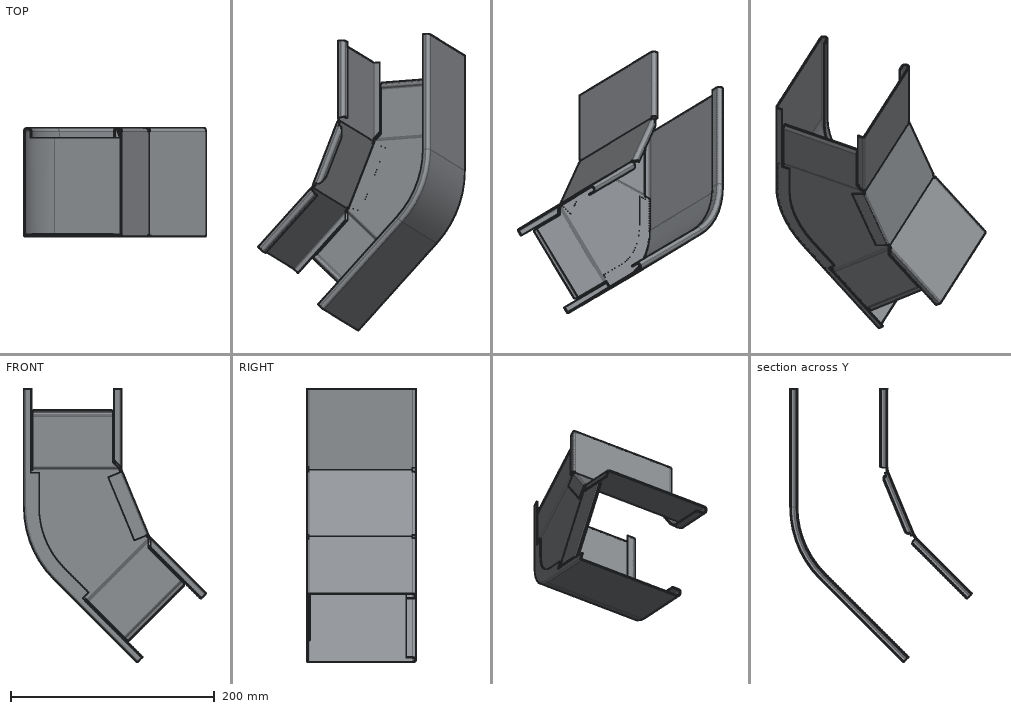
import cadquery as cq
import math


SHEET = 1.25
TRAY_WIDTH = 96.0
TRAY_HEIGHT = 107.0
BEND_ANGLE = 45.0
LEG_LENGTH = 157.22
BEND_RADIUS = 100.0

FLANGE_WIDTH = 7.0
WIDE_FLANGE = 15.0
FLANGE_RADIUS = 1.7
HOOK_WIDTH = 7.7
HOOK_RADIUS = 3.7
HOOK_DEPTH = 9.7
WIDE_FLANGE_START = 82.2

INNER_STRAIGHT = 79.2
KINK_RELIEF = 1.8
FLANGE_CUT_SETBACK = 2.0
HOOK_CORNER_SETBACK = 2.5
HOOK_CUT_RISE = 3.0

TONGUE_MARGIN = 8.5
PLATE_MARGIN = 2.0
TONGUE_TIP = 21.2
GROOVE_BOTTOM = 24.0
GROOVE_START = 26.2
JOGGLE_START = 76.9
JOGGLE_END = 78.5
PLATE_START = 79.5
TONGUE_FLARE_START = 71.7
GROOVE_DEPTH = 2.2
TIP_DEPTH = 0.6
TIP_CHAMFER = 1.5
FOLD_RADIUS = 0.6
GROOVE_RADIUS = 1.6

HALF_ANGLE = math.radians(BEND_ANGLE / 2)
COS_BEND = math.cos(math.radians(BEND_ANGLE))
SIN_BEND = math.sin(math.radians(BEND_ANGLE))
TANGENT_Z = BEND_RADIUS * math.tan(HALF_ANGLE)
KINK_Z = LEG_LENGTH - INNER_STRAIGHT
KINK_TURN = HALF_ANGLE


def across_bend(x, z):
    """Mirror a point of leg one onto leg two."""
    return (x * COS_BEND + z * SIN_BEND, x * SIN_BEND - z * COS_BEND)


def on_leg_two(body):
    """Mirror a body of leg one onto leg two."""
    return body.mirror("XY").rotate((0, 0, 0), (0, 1, 0), -BEND_ANGLE)


def prism(points, y_start, y_end):
    """Polygon in X and Z, extruded along Y."""
    return cq.Workplane("XZ", origin=(0, y_start, 0)).polyline(points).close().extrude(y_start - y_end)


def rounded_outline(plane, corners):
    """Closed outline from (u, v, radius) corners; a zero radius stays sharp."""
    stretches = []
    for i, (u, v, radius) in enumerate(corners):
        here = cq.Vector(u, v)
        if radius == 0:
            stretches.append([here])
            continue
        before = (cq.Vector(*corners[i - 1][:2]) - here).normalized()
        after = (cq.Vector(*corners[(i + 1) % len(corners)][:2]) - here).normalized()
        half = before.getAngle(after) / 2
        bisector = (before + after).normalized()
        setback = radius / math.tan(half)
        to_arc = radius / math.sin(half) - radius
        stretches.append([here + before * setback, here + bisector * to_arc, here + after * setback])
    outline = plane.moveTo(stretches[0][0].x, stretches[0][0].y)
    for i, stretch in enumerate(stretches):
        if i > 0:
            outline = outline.lineTo(stretch[0].x, stretch[0].y)
        if len(stretch) == 3:
            outline = outline.threePointArc((stretch[1].x, stretch[1].y), (stretch[2].x, stretch[2].y))
    return outline.close()


def wall_section(flange, z):
    """Wall with a front flange and a rear hook; X runs inwards from the outer face."""
    inside = HOOK_WIDTH - SHEET
    rear = TRAY_HEIGHT - SHEET
    lip = TRAY_HEIGHT - HOOK_DEPTH
    return rounded_outline(cq.Workplane("XY", origin=(0, 0, z)), [
        (flange, 0, 0),
        (0, 0, FLANGE_RADIUS),
        (0, TRAY_HEIGHT, HOOK_RADIUS),
        (HOOK_WIDTH, TRAY_HEIGHT, HOOK_RADIUS),
        (HOOK_WIDTH, lip, 0),
        (inside, lip, 0),
        (inside, rear, HOOK_RADIUS - SHEET),
        (SHEET, rear, HOOK_RADIUS - SHEET),
        (SHEET, SHEET, FLANGE_RADIUS - SHEET),
        (flange, SHEET, 0),
    ])


def make_outer_wall():
    step_z = LEG_LENGTH - WIDE_FLANGE_START
    leg = wall_section(FLANGE_WIDTH, step_z).extrude(WIDE_FLANGE_START)
    leg = leg.union(wall_section(WIDE_FLANGE, TANGENT_Z).extrude(step_z - TANGENT_Z))
    bend = wall_section(WIDE_FLANGE, TANGENT_Z).revolve(BEND_ANGLE, (BEND_RADIUS, 0, 0), (BEND_RADIUS, -1, 0))
    return leg.union(bend).union(on_leg_two(leg))


def make_inner_wall():
    half = [
        (TRAY_WIDTH, LEG_LENGTH),
        (TRAY_WIDTH, KINK_Z),
    ]
    half_inside = [
        (TRAY_WIDTH - SHEET, KINK_Z - SHEET * math.tan(KINK_TURN / 2)),
        (TRAY_WIDTH - SHEET, LEG_LENGTH),
    ]
    outline = half + [across_bend(*p) for p in reversed(half)]
    outline += [across_bend(*p) for p in reversed(half_inside)] + half_inside
    wall = prism(outline, FLANGE_RADIUS, TRAY_HEIGHT - HOOK_RADIUS)

    leg_start = KINK_Z + KINK_RELIEF
    leg = wall_section(FLANGE_WIDTH, leg_start).extrude(LEG_LENGTH - leg_start)
    leg = leg.mirror("YZ").translate((TRAY_WIDTH, 0, 0))
    cut_z = KINK_Z + FLANGE_CUT_SETBACK
    flange_cut = prism([
        (TRAY_WIDTH, cut_z),
        (TRAY_WIDTH - WIDE_FLANGE, cut_z + WIDE_FLANGE),
        (TRAY_WIDTH - WIDE_FLANGE, 0),
        (TRAY_WIDTH, 0),
    ], 0, FLANGE_RADIUS)
    hook_cut = prism([
        (TRAY_WIDTH, KINK_Z),
        (TRAY_WIDTH - HOOK_WIDTH, KINK_Z + HOOK_CUT_RISE),
        (TRAY_WIDTH - HOOK_WIDTH, 0),
        (TRAY_WIDTH, 0),
    ], TRAY_HEIGHT - HOOK_DEPTH, TRAY_HEIGHT)
    leg = leg.cut(flange_cut).cut(hook_cut)

    far_x, far_z = across_bend(TRAY_WIDTH, KINK_Z)
    length = math.hypot(far_x - TRAY_WIDTH, far_z - KINK_Z) - 2 * KINK_RELIEF
    middle = wall_section(WIDE_FLANGE, -length / 2).extrude(length)
    hook_edge = TRAY_HEIGHT - HOOK_DEPTH
    for end in (-1, 1):
        end_z = end * length / 2
        lip_z = end_z - end * HOOK_CORNER_SETBACK
        hook_corner = cq.Workplane("YZ", origin=(HOOK_RADIUS, 0, 0)).polyline([
            (TRAY_HEIGHT, end_z),
            (TRAY_HEIGHT, lip_z),
            (hook_edge, lip_z - end * HOOK_DEPTH),
            (hook_edge, end_z),
        ]).close().extrude(HOOK_WIDTH)
        middle = middle.cut(hook_corner)
    middle = middle.mirror("YZ")
    middle = middle.rotate((0, 0, 0), (0, 1, 0), -BEND_ANGLE / 2)
    middle = middle.translate(((TRAY_WIDTH + far_x) / 2, 0, (KINK_Z + far_z) / 2))
    return wall.union(leg).union(on_leg_two(leg)).union(middle)


def folded_sheet(plane, points):
    """Sheet whose outer face follows (u, v, inside radius) points; thickness grows towards +u."""
    vectors = [cq.Vector(u, v) for u, v, radius in points]
    runs = [(b - a).normalized() for a, b in zip(vectors, vectors[1:])]
    normals = [cq.Vector(run.y, -run.x) for run in runs]
    face = []
    back = []
    for i, point in enumerate(vectors):
        first = normals[max(i - 1, 0)]
        second = normals[min(i, len(normals) - 1)]
        offset = (first + second) * (SHEET / (1 + first.dot(second)))
        inside_radius = points[i][2]
        turn = first.cross(second).z
        face_radius = 0
        back_radius = 0
        if turn > 0:
            face_radius = inside_radius
            back_radius = inside_radius + SHEET
        elif turn < 0:
            face_radius = inside_radius + SHEET
            back_radius = inside_radius
        face.append((point.x, point.y, face_radius))
        back.append((point.x + offset.x, point.y + offset.y, back_radius))
    return rounded_outline(plane, face + back[::-1])


def make_tongue():
    """Leg part of the base plate, joggled out flush with the flanges, with a grooved tip."""
    right = TRAY_WIDTH - TONGUE_MARGIN
    wide_right = TRAY_WIDTH - SHEET
    tip_z = LEG_LENGTH - TONGUE_TIP
    flare_z = LEG_LENGTH - TONGUE_FLARE_START
    root_z = LEG_LENGTH - PLATE_START
    sheet = folded_sheet(cq.Workplane("YZ"), [
        (SHEET, root_z, 0),
        (SHEET, LEG_LENGTH - JOGGLE_END, FOLD_RADIUS),
        (0, LEG_LENGTH - JOGGLE_START, FOLD_RADIUS),
        (0, LEG_LENGTH - GROOVE_START, FOLD_RADIUS),
        (GROOVE_DEPTH, LEG_LENGTH - GROOVE_BOTTOM, GROOVE_RADIUS),
        (TIP_DEPTH, tip_z, 0),
    ]).extrude(TRAY_WIDTH)
    outline = prism([
        (TONGUE_MARGIN, root_z),
        (TONGUE_MARGIN, tip_z - TIP_CHAMFER),
        (TONGUE_MARGIN + TIP_CHAMFER, tip_z + SHEET),
        (right - TIP_CHAMFER, tip_z + SHEET),
        (right, tip_z - TIP_CHAMFER),
        (right, flare_z),
        (wide_right, flare_z - (wide_right - right)),
        (wide_right, root_z),
    ], 0, TRAY_HEIGHT)
    return sheet.intersect(outline)


def make_base_plate():
    root_z = LEG_LENGTH - PLATE_START
    right = TRAY_WIDTH - PLATE_MARGIN
    inner_corner = (right, KINK_Z - PLATE_MARGIN * math.tan(KINK_TURN / 2))
    mid_reach = BEND_RADIUS / math.cos(HALF_ANGLE) - (BEND_RADIUS - PLATE_MARGIN)
    arc_middle = (mid_reach * math.cos(HALF_ANGLE), mid_reach * math.sin(HALF_ANGLE))
    plate = (
        cq.Workplane("XZ", origin=(0, SHEET, 0))
        .moveTo(PLATE_MARGIN, TANGENT_Z)
        .lineTo(PLATE_MARGIN, root_z)
        .lineTo(right, root_z)
        .lineTo(*inner_corner)
        .lineTo(*across_bend(*inner_corner))
        .lineTo(*across_bend(right, root_z))
        .lineTo(*across_bend(PLATE_MARGIN, root_z))
        .lineTo(*across_bend(PLATE_MARGIN, TANGENT_Z))
        .threePointArc(arc_middle, (PLATE_MARGIN, TANGENT_Z))
        .close()
        .extrude(-SHEET)
    )
    tongue = make_tongue()
    return plate.union(tongue).union(on_leg_two(tongue))


outer_wall = make_outer_wall()
inner_wall = make_inner_wall()
base_plate = make_base_plate()

result = cq.Compound.makeCompound([outer_wall.val(), inner_wall.val(), base_plate.val()])